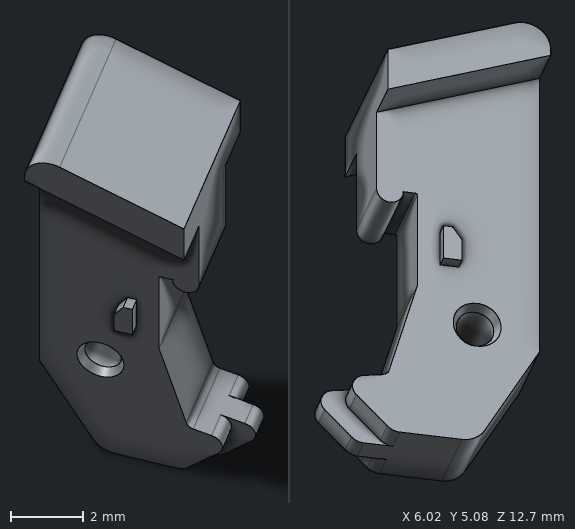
import cadquery as cq
import math

HEIGHT = 12.7
TOE_REACH = 6.02
CAP_WIDTH = 5.08
BODY_WIDTH = 2.41

CAP_LENGTH = 4.64
CAP_SLOPE = math.radians(20)
CAP_THICKNESS = 1.27
CAP_NOSE_RADIUS = 0.76

NECK_X = 3.48
HOOK_RADIUS = 0.38
HOOK_Z = 7.65
HOOK_CORNER_RADIUS = 0.06

NECK_BOTTOM_Z = 4.71
HEEL_Z = 3.07
HEEL_SLOPE = math.radians(60)
HEEL_RADIUS = 0.76
THROAT_X = 4.32
THROAT_Z = 1.79
THROAT_RADIUS = 0.25

TOE_TOP_SLOPE = math.radians(10)
TOE_TIP_RADIUS = 0.38
TOE_BASE_RADIUS = 0.5
TONGUE_WIDTH = 0.76
TONGUE_OVERHANG = 0.7

PIVOT_X = 1.78
PIVOT_Z = 3.7
PIVOT_DIAMETER = 1.07
COUNTERSINK_DIAMETER = 1.36
COUNTERSINK_ANGLE = 60

PEG_LEFT = 2.3
PEG_RIGHT = 2.83
PEG_BOTTOM = 5.46
PEG_TOP = 6.49
PEG_BEVEL_X = 0.27
PEG_BEVEL_Z = 0.38
PEG_HEIGHT = 0.4

nose_z = HEIGHT - CAP_NOSE_RADIUS
cap_top_left = nose_z + CAP_NOSE_RADIUS / math.cos(CAP_SLOPE) + CAP_NOSE_RADIUS * math.tan(CAP_SLOPE)
cap_top_right = cap_top_left - CAP_LENGTH * math.tan(CAP_SLOPE)


def extrude_centred(sketch, width):
    """Extrude an XZ sketch symmetrically about the plane Y = 0."""
    return sketch.extrude(width / 2, both=True)


def round_edge(solid, x, z, radius):
    """Fillet the edge parallel to Y that passes through (x, z)."""
    edge = solid.edges("|Y").edges(cq.selectors.NearestToPointSelector((x, 0, z)))
    return edge.fillet(radius)


def make_cap():
    outline = [
        (0, cap_top_left),
        (CAP_LENGTH, cap_top_right),
        (CAP_LENGTH, cap_top_right - CAP_THICKNESS),
        (0, cap_top_left - CAP_THICKNESS),
    ]
    cap = extrude_centred(cq.Workplane("XZ").polyline(outline).close(), CAP_WIDTH)
    return round_edge(cap, 0, cap_top_left, CAP_NOSE_RADIUS)


def make_body(reach, width):
    """Lever plate whose rounded toe ends at X = reach."""
    tip_x = reach - TOE_TIP_RADIUS
    toe_drop = math.tan(TOE_TOP_SLOPE)
    tip_z = THROAT_Z - (tip_x - THROAT_X) * toe_drop - TOE_TIP_RADIUS / math.cos(TOE_TOP_SLOPE)
    base_x = tip_x - tip_z + TOE_TIP_RADIUS * math.sqrt(2)
    corner_z = (THROAT_Z - (base_x - THROAT_X) * toe_drop) / (1 + toe_drop)
    corner_x = base_x + corner_z
    heel_x = HEEL_Z / math.tan(HEEL_SLOPE)
    hook_x = CAP_LENGTH - HOOK_RADIUS

    sketch = (
        cq.Workplane("XZ")
        .moveTo(0, cap_top_left - CAP_THICKNESS)
        .lineTo(CAP_LENGTH, cap_top_right - CAP_THICKNESS)
        .lineTo(CAP_LENGTH, HOOK_Z)
        .threePointArc((hook_x, HOOK_Z - HOOK_RADIUS), (hook_x - HOOK_RADIUS, HOOK_Z))
        .lineTo(NECK_X, HOOK_Z)
        .lineTo(NECK_X, NECK_BOTTOM_Z)
        .lineTo(THROAT_X, THROAT_Z)
        .lineTo(corner_x, corner_z)
        .lineTo(base_x, 0)
        .lineTo(heel_x, 0)
        .lineTo(0, HEEL_Z)
        .close()
    )
    body = extrude_centred(sketch, width)
    for x, z, radius in (
        (NECK_X, HOOK_Z, HOOK_CORNER_RADIUS),
        (THROAT_X, THROAT_Z, THROAT_RADIUS),
        (corner_x, corner_z, TOE_TIP_RADIUS),
        (base_x, 0, TOE_BASE_RADIUS),
        (heel_x, 0, HEEL_RADIUS),
    ):
        body = round_edge(body, x, z, radius)
    return body


def make_pegs():
    """One bar through the body that stands out on both sides."""
    outline = [
        (PEG_LEFT, PEG_BOTTOM),
        (PEG_RIGHT, PEG_BOTTOM),
        (PEG_RIGHT, PEG_TOP),
        (PEG_LEFT + PEG_BEVEL_X, PEG_TOP),
        (PEG_LEFT, PEG_TOP - PEG_BEVEL_Z),
    ]
    sketch = cq.Workplane("XZ").polyline(outline).close()
    return extrude_centred(sketch, BODY_WIDTH + 2 * PEG_HEIGHT)


def cut_pivot(solid):
    for side in (-1, 1):
        face = cq.Plane(
            origin=(PIVOT_X, side * BODY_WIDTH / 2, PIVOT_Z),
            xDir=(1, 0, 0),
            normal=(0, side, 0),
        )
        solid = solid.copyWorkplane(cq.Workplane(face)).cskHole(
            PIVOT_DIAMETER, COUNTERSINK_DIAMETER, COUNTERSINK_ANGLE, depth=BODY_WIDTH
        )
    return solid


full_width_body = make_body(TOE_REACH - TONGUE_OVERHANG, BODY_WIDTH)
tongue = make_body(TOE_REACH, TONGUE_WIDTH)
lever = full_width_body.union(tongue).union(make_cap()).union(make_pegs())
result = cut_pivot(lever)